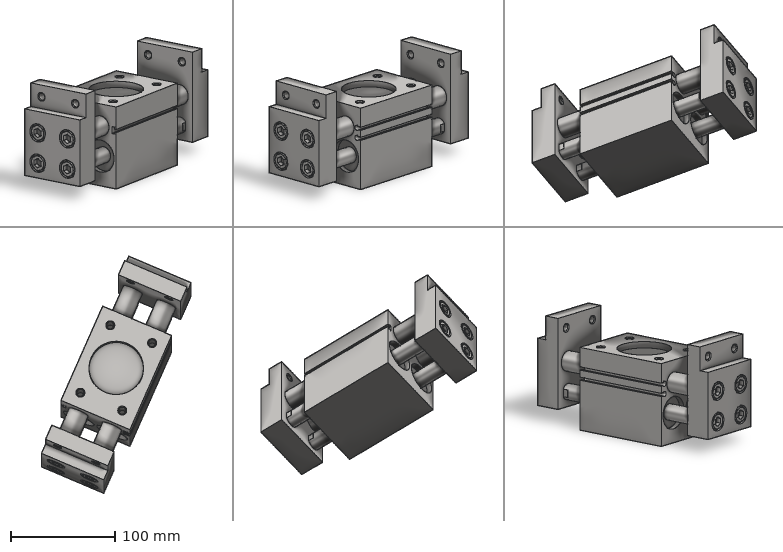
import cadquery as cq
import math

OVERALL_LENGTH = 210.0
OVERALL_HEIGHT = 105.0

HOUSING_WIDTH = 72.0
HOUSING_LENGTH = 100.4
HOUSING_HEIGHT = 82.0
POCKET_DIAMETER = 52.0
POCKET_DEPTH = 6.3
MOUNT_HOLE_X = 21.8
MOUNT_HOLE_Y = 36.0
MOUNT_HOLE_DEPTH = 16.8
DRILL_TIP_ANGLE = 118.0

HOLE_DIAMETER = 6.7
HOLE_RIM_DIAMETER = 8.6

SLOT_MOUTH = 3.2
KEYHOLE_HEIGHTS = (51.0, 61.1)
KEYHOLE_DIAMETER = 5.0
KEYHOLE_CENTRE_DEPTH = 4.8
T_SLOT_HEIGHT = 58.0
T_SLOT_WIDTH = 6.7
T_SLOT_LIP = 2.0
T_SLOT_DEPTH = 5.0

ROD_X = 17.5
UPPER_ROD_HEIGHT = 60.0
UPPER_ROD_DIAMETER = 20.0
LOWER_ROD_HEIGHT = 29.8
LOWER_ROD_DIAMETER = 16.0
ROD_RECESS_DIAMETER = 32.0
ROD_RECESS_DEPTH = 5.5
FLAT_LENGTH = 5.7
FLATS_ACROSS = 14.0

JAW_WIDTH = 65.0
JAW_BOTTOM = 15.0
JAW_THICKNESS = 25.0
JAW_STEP_HEIGHT = 81.5
JAW_STEP_DEPTH = 9.9
JAW_HOLE_X = 20.0
JAW_HOLE_HEIGHT = 93.2

SCREW_SEAT_DIAMETER = 18.0
SCREW_HEAD_DIAMETER = 14.5
SCREW_GAP_DEPTH = 3.0
HEXAGON_SIDES = 6
SOCKET_ACROSS = 8.0
SOCKET_DEPTH = 5.0

HOUSING_END = HOUSING_LENGTH / 2
JAW_OUTER = OVERALL_LENGTH / 2
JAW_INNER = JAW_OUTER - JAW_THICKNESS
RIM_CHAMFER = (HOLE_RIM_DIAMETER - HOLE_DIAMETER) / 2

ALONG_Y = cq.Vector(0, 1, 0)
DOWN = cq.Vector(0, 0, -1)


def cylinder_along_y(diameter, x, z, y_start, y_end):
    """Round bar parallel to Y between two Y positions."""
    return cq.Solid.makeCylinder(diameter / 2, y_end - y_start, cq.Vector(x, y_start, z), ALONG_Y)


def box_along_housing(x_start, x_end, z_centre, height):
    """Bar that runs the full length of the housing."""
    return cq.Solid.makeBox(
        x_end - x_start, HOUSING_LENGTH, height, cq.Vector(x_start, -HOUSING_END, z_centre - height / 2)
    )


def rim_cone(centre, direction):
    """Countersink at the rim of a threaded hole."""
    return cq.Solid.makeCone(HOLE_RIM_DIAMETER / 2, HOLE_DIAMETER / 2, RIM_CHAMFER, centre, direction)


def mount_hole(x, y):
    """Blind hole down from the top face, with a chamfered rim and a drill-tip bottom."""
    rim = cq.Vector(x, y, HOUSING_HEIGHT)
    radius = HOLE_DIAMETER / 2
    tip_length = radius / math.tan(math.radians(DRILL_TIP_ANGLE / 2))
    shaft = cq.Solid.makeCylinder(radius, MOUNT_HOLE_DEPTH, rim, DOWN)
    tip = cq.Solid.makeCone(radius, 0, tip_length, rim + DOWN * MOUNT_HOLE_DEPTH, DOWN)
    return shaft.fuse(tip, rim_cone(rim, DOWN))


def keyhole_groove(z):
    """Narrow mouth in the -X side that opens into a round channel."""
    side = -HOUSING_WIDTH / 2
    centre = side + KEYHOLE_CENTRE_DEPTH
    mouth = box_along_housing(side, centre, z, SLOT_MOUTH)
    return mouth.fuse(cylinder_along_y(KEYHOLE_DIAMETER, centre, z, -HOUSING_END, HOUSING_END))


def t_slot():
    """Narrow mouth in the +X side that opens into a wider slot."""
    side = HOUSING_WIDTH / 2
    lip = side - T_SLOT_LIP
    mouth = box_along_housing(lip, side, T_SLOT_HEIGHT, SLOT_MOUTH)
    return mouth.fuse(box_along_housing(side - T_SLOT_DEPTH, lip, T_SLOT_HEIGHT, T_SLOT_WIDTH))


def make_housing():
    body = cq.Workplane("XY").box(
        HOUSING_WIDTH, HOUSING_LENGTH, HOUSING_HEIGHT, centered=(True, True, False)
    )
    body = body.faces(">Z").workplane().hole(POCKET_DIAMETER, POCKET_DEPTH)
    for x in (-MOUNT_HOLE_X, MOUNT_HOLE_X):
        for y in (-MOUNT_HOLE_Y, MOUNT_HOLE_Y):
            body = body.cut(cq.Workplane(mount_hole(x, y)))

    for z in KEYHOLE_HEIGHTS:
        body = body.cut(cq.Workplane(keyhole_groove(z)))
    body = body.cut(cq.Workplane(t_slot()))

    floor = HOUSING_END - ROD_RECESS_DEPTH
    for x in (-ROD_X, ROD_X):
        for y_start, y_end in ((-HOUSING_END, -floor), (floor, HOUSING_END)):
            recess = cylinder_along_y(ROD_RECESS_DIAMETER, x, LOWER_ROD_HEIGHT, y_start, y_end)
            body = body.cut(cq.Workplane(recess))
    return body


def jaw_plate():
    """Stepped plate whose upper part is thinner on the outer side, with two through holes."""
    step_y = -JAW_OUTER + JAW_STEP_DEPTH
    plate = (
        cq.Workplane("YZ")
        .polyline([
            (-JAW_INNER, JAW_BOTTOM),
            (-JAW_OUTER, JAW_BOTTOM),
            (-JAW_OUTER, JAW_STEP_HEIGHT),
            (step_y, JAW_STEP_HEIGHT),
            (step_y, OVERALL_HEIGHT),
            (-JAW_INNER, OVERALL_HEIGHT),
        ])
        .close()
        .extrude(JAW_WIDTH / 2, both=True)
    )
    for x in (-JAW_HOLE_X, JAW_HOLE_X):
        hole = cylinder_along_y(HOLE_DIAMETER, x, JAW_HOLE_HEIGHT, step_y, -JAW_INNER)
        outer_rim = rim_cone(cq.Vector(x, step_y, JAW_HOLE_HEIGHT), ALONG_Y)
        inner_rim = rim_cone(cq.Vector(x, -JAW_INNER, JAW_HOLE_HEIGHT), ALONG_Y * -1)
        plate = plate.cut(cq.Workplane(hole.fuse(outer_rim, inner_rim)))
    return plate


def screw_recess(x, z):
    """Ring gap around a flush screw head, and the hexagon socket of the head."""
    gap_floor = -JAW_OUTER + SCREW_GAP_DEPTH
    seat = cylinder_along_y(SCREW_SEAT_DIAMETER, x, z, -JAW_OUTER, gap_floor)
    head = cylinder_along_y(SCREW_HEAD_DIAMETER, x, z, -JAW_OUTER, gap_floor)
    corner_diameter = SOCKET_ACROSS / math.cos(math.pi / HEXAGON_SIDES)
    socket = (
        cq.Workplane("XZ", origin=(x, -JAW_OUTER, z))
        .transformed(rotate=(0, 0, 90))
        .polygon(HEXAGON_SIDES, corner_diameter)
        .extrude(-SOCKET_DEPTH)
    )
    return cq.Workplane(seat.cut(head)).union(socket)


def lower_rod(x):
    """Rod that reaches the floor of its recess, with two wrench flats beside the jaw."""
    rod_end = -HOUSING_END + ROD_RECESS_DEPTH
    rod = cylinder_along_y(LOWER_ROD_DIAMETER, x, LOWER_ROD_HEIGHT, -JAW_INNER, rod_end)
    flats_y = -JAW_INNER + FLAT_LENGTH / 2
    band = cq.Workplane("XY", origin=(x, flats_y, LOWER_ROD_HEIGHT))
    outside = band.box(LOWER_ROD_DIAMETER, FLAT_LENGTH, LOWER_ROD_DIAMETER)
    inside = band.box(FLATS_ACROSS, FLAT_LENGTH, LOWER_ROD_DIAMETER)
    return cq.Workplane(rod).cut(outside.cut(inside))


def make_jaw():
    """Jaw at the -Y end: plate, screw heads and rods in one piece."""
    jaw = jaw_plate()
    for x in (-ROD_X, ROD_X):
        for z in (LOWER_ROD_HEIGHT, UPPER_ROD_HEIGHT):
            jaw = jaw.cut(screw_recess(x, z))
        upper_rod = cylinder_along_y(UPPER_ROD_DIAMETER, x, UPPER_ROD_HEIGHT, -JAW_INNER, -HOUSING_END)
        jaw = jaw.union(cq.Workplane(upper_rod)).union(lower_rod(x))
    return jaw


housing = make_housing()
jaws = []
for turn in (0, 180):
    jaws.append(make_jaw().rotate((0, 0, 0), (0, 0, 1), turn))

result = cq.Compound.makeCompound([housing.solids().val(), *[jaw.solids().val() for jaw in jaws]])